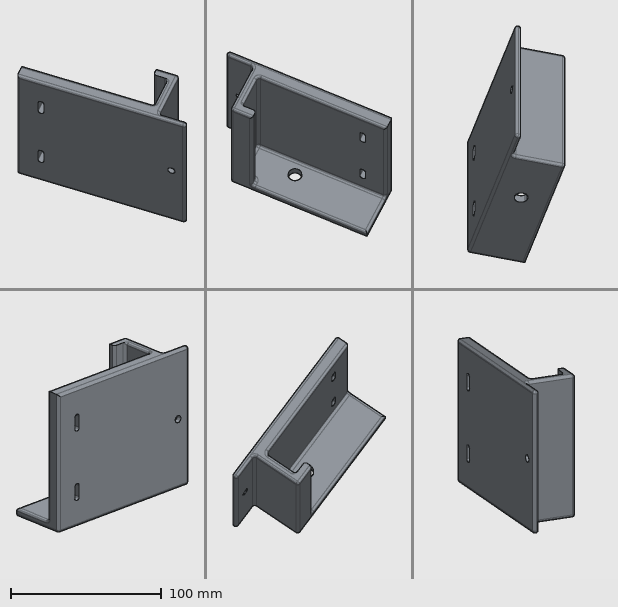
import cadquery as cq

length = 120.0
depth = 40.0
height = 100.0

plate_thickness = 10.0
flange_thickness = 4.0
wall_thickness = 6.0
floor_thickness = 6.0
lip_thickness = 6.0

wall_outer_x = 100.0
wall_inner_x = wall_outer_x - wall_thickness
lip_end_x = 84.0
lip_inner_y = depth - lip_thickness

rim_flat = 0.0001
edge_radius = (flange_thickness - rim_flat) / 2

slot_width = 4.0
slot_length = 12.0
slot_x = 17.2
slot_spacing = 50.0

flange_hole_x = 110.0
flange_hole_diameter = 5.0

floor_hole_x = 62.0
floor_hole_y = depth / 2
floor_hole_diameter = 9.0


def make_block():
    """Solid block with the thin flange standing out past the side wall."""
    outline = [
        (0, 0),
        (length, 0),
        (length, flange_thickness),
        (wall_outer_x, flange_thickness),
        (wall_outer_x, depth),
        (0, depth),
    ]
    return cq.Workplane("XY").polyline(outline).close().extrude(height)


def make_cavity():
    """Space above the floor, open at the top, the -X end and the back."""
    outline = [
        (0, plate_thickness),
        (wall_inner_x, plate_thickness),
        (wall_inner_x, lip_inner_y),
        (lip_end_x, lip_inner_y),
        (lip_end_x, depth),
        (0, depth),
    ]
    floor_top = cq.Workplane("XY").workplane(offset=floor_thickness)
    return floor_top.polyline(outline).close().extrude(height - floor_thickness)


def round_edges(body):
    """Fillet every edge, inside and outside, except the four that stay sharp."""
    sharp_edge_middles = [
        cq.Vector(0, depth, floor_thickness / 2),
        cq.Vector(0, plate_thickness / 2, height),
        cq.Vector((lip_end_x + wall_inner_x) / 2, lip_inner_y, height),
        cq.Vector(lip_end_x, (lip_inner_y + depth) / 2, height),
    ]
    tolerance = 0.01

    def is_rounded(edge):
        middle = edge.Center()
        return all((middle - sharp).Length > tolerance for sharp in sharp_edge_middles)

    return body.edges().filter(is_rounded).fillet(edge_radius)


def make_plate_openings():
    """Cutters along Y for the two slots and the flange hole."""
    front = cq.Workplane("XZ").center(0, height / 2)
    slots = (
        front.pushPoints([(slot_x, -slot_spacing / 2), (slot_x, slot_spacing / 2)])
        .slot2D(slot_length, slot_width, angle=90)
        .extrude(-plate_thickness)
    )
    flange_hole = (
        front.center(flange_hole_x, 0)
        .circle(flange_hole_diameter / 2)
        .extrude(-flange_thickness)
    )
    return slots.union(flange_hole)


def make_floor_hole():
    """Cutter along Z for the hole in the floor."""
    return (
        cq.Workplane("XY")
        .center(floor_hole_x, floor_hole_y)
        .circle(floor_hole_diameter / 2)
        .extrude(floor_thickness)
    )


bracket = round_edges(make_block().cut(make_cavity()))
result = bracket.cut(make_plate_openings()).cut(make_floor_hole())